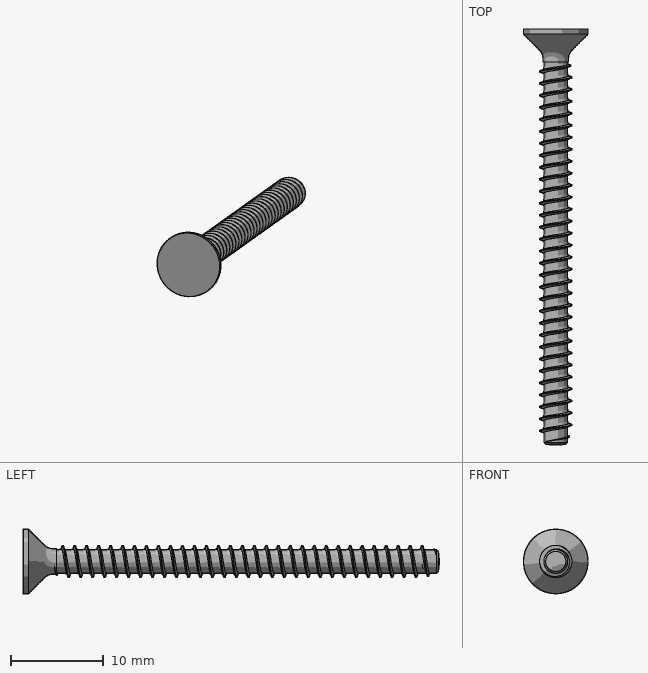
import cadquery as cq
import math


screw_length = 45.0
head_radius = 3.5
rim_height = 0.58
head_half_angle = 45.0

neck_radius = 1.4
neck_end_depth = 3.6
neck_fillet = 1.25

core_radius = 1.29
tip_chamfer = 0.2
tip_dome_height = 0.1

thread_radius = 1.75
thread_pitch = 1.295
full_turns = 30.25
fade_turns = 1
full_thread_depth = 4.28
crest_width = 0.07
tip_side_root = 0.2
flank_foot_reach = 0.16
head_side_root = 0.42
foot_height = 0.08
root_overlap = 0.1


def make_blank():
    """Head, neck and core as one revolved body."""
    cone_height = (head_radius - neck_radius) / math.tan(math.radians(head_half_angle))
    cone_end_z = -rim_height - cone_height
    tangent_length = neck_fillet * math.tan(math.radians(head_half_angle) / 2)
    cone_tangent = (
        neck_radius + tangent_length * math.sin(math.radians(head_half_angle)),
        cone_end_z + tangent_length * math.cos(math.radians(head_half_angle)),
    )
    neck_tangent = (neck_radius, cone_end_z - tangent_length)
    mid_angle = math.radians(head_half_angle) / 2
    fillet_mid = (
        neck_radius + neck_fillet * (1 - math.cos(mid_angle)),
        neck_tangent[1] + neck_fillet * math.sin(mid_angle),
    )

    tip_radius = core_radius - tip_chamfer
    dome_base_z = -screw_length + tip_dome_height
    dome_radius = (tip_radius**2 + tip_dome_height**2) / (2 * tip_dome_height)
    dome_half_angle = math.asin(tip_radius / dome_radius) / 2
    dome_mid = (
        dome_radius * math.sin(dome_half_angle),
        -screw_length + dome_radius * (1 - math.cos(dome_half_angle)),
    )

    return (
        cq.Workplane("YZ")
        .moveTo(0, 0)
        .lineTo(head_radius, 0)
        .lineTo(head_radius, -rim_height)
        .lineTo(*cone_tangent)
        .threePointArc(fillet_mid, neck_tangent)
        .lineTo(neck_radius, -neck_end_depth)
        .lineTo(core_radius, -neck_end_depth)
        .lineTo(core_radius, dome_base_z + tip_chamfer)
        .lineTo(tip_radius, dome_base_z)
        .threePointArc(dome_mid, (0, -screw_length))
        .close()
        .revolve(360, (0, 0), (0, 1))
    )


def helix_edge(start_radius, end_radius, start_z, height, turns):
    """Right-hand helix that starts over +X and may widen or narrow like a cone."""
    pitch = height / turns
    start = cq.Vector(0, 0, start_z)
    if start_radius == end_radius:
        wire = cq.Wire.makeHelix(pitch, height, start_radius, start)
    else:
        taper = math.atan2(end_radius - start_radius, height)
        slope = 1 / math.cos(taper)
        angle = math.degrees(taper)
        wire = cq.Wire.makeHelix(pitch * slope, height * slope, start_radius, start, angle=angle)
    return wire.Edges()[0]


def profile_corners(height_share, z):
    """Corners (radius, z) of the thread profile, from the lower root over the crest to the upper root.

    A height share of 1 is the full profile; at 0 it shrinks to a sliver inside the core.
    """
    inner_radius = core_radius - root_overlap
    sliver_share = root_overlap / 2 / (root_overlap + thread_radius - core_radius)
    share = sliver_share + (1 - sliver_share) * height_share
    full_profile = [
        (inner_radius, -tip_side_root),
        (core_radius, -tip_side_root),
        (thread_radius, -crest_width / 2),
        (thread_radius, crest_width / 2),
        (core_radius + foot_height, flank_foot_reach),
        (core_radius, head_side_root),
        (inner_radius, head_side_root),
    ]
    return [
        (inner_radius + share * (radius - inner_radius), z + share * reach)
        for radius, reach in full_profile
    ]


def turned(shape, turns):
    """The shape turned about the screw axis by a number of turns."""
    return shape.rotate(cq.Vector(0, 0, 0), cq.Vector(0, 0, 1), 360 * turns)


def thread_section(start_share, end_share, bottom_z, turns_before, turns):
    """Helical faces of a stretch of thread, starting some turns above the thread's lower end."""
    start_z = bottom_z + turns_before * thread_pitch
    starts = profile_corners(start_share, start_z)
    ends = profile_corners(end_share, start_z)
    end_rises = [end[1] - start[1] for start, end in zip(starts, ends)]
    edges = [
        helix_edge(start[0], end[0], start[1], turns * thread_pitch + rise, turns)
        for start, end, rise in zip(starts, ends, end_rises)
    ]
    faces = [cq.Face.makeRuledSurface(edges[i - 1], edges[i]) for i in range(len(edges))]
    return [turned(face, turns_before) for face in faces]


def end_cap(bottom_z, turns_before):
    """Flat face closing the faded end of the thread."""
    corners = profile_corners(0, bottom_z + turns_before * thread_pitch)
    outline = cq.Wire.makePolygon([cq.Vector(radius, 0, z) for radius, z in corners], close=True)
    return turned(cq.Face.makeFromWires(outline), turns_before)


def make_thread():
    """Right-hand helical ridge that fades into the core at both ends."""
    turns_below_head_fade = fade_turns + full_turns
    total_turns = turns_below_head_fade + fade_turns
    bottom_z = -full_thread_depth - turns_below_head_fade * thread_pitch

    faces = thread_section(0, 1, bottom_z, 0, fade_turns)
    whole_turns = int(full_turns)
    for turn in range(whole_turns):
        faces += thread_section(1, 1, bottom_z, fade_turns + turn, 1)
    faces += thread_section(1, 1, bottom_z, fade_turns + whole_turns, full_turns - whole_turns)
    faces += thread_section(1, 0, bottom_z, turns_below_head_fade, fade_turns)
    faces.append(end_cap(bottom_z, 0))
    faces.append(end_cap(bottom_z, total_turns))
    thread = cq.Solid.makeSolid(cq.Shell.makeShell(faces))
    full_height_turn = -0.25
    return cq.Workplane(turned(thread, full_height_turn - turns_below_head_fade))


screw = make_blank().union(make_thread()).solids()
result = screw.rotate((0, 0, 0), (1, 0, 0), -90)